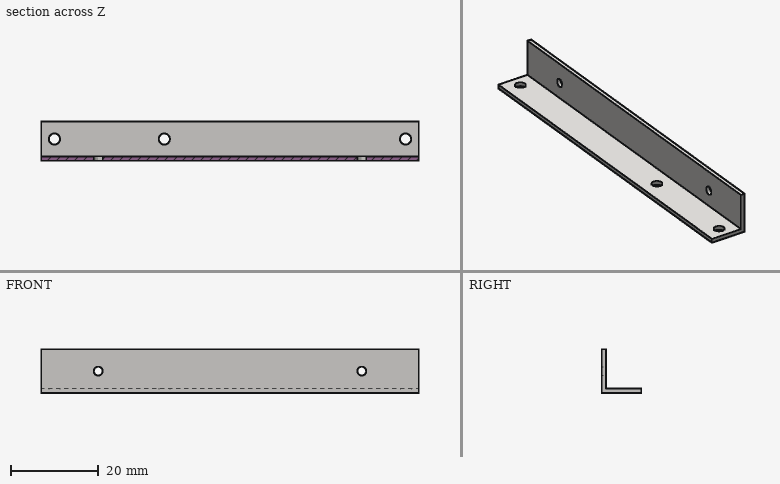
import cadquery as cq

length = 86.0
base_width = 9.0
wall_height = 10.0
thickness = 1.0

wall_hole_diameter = 2.0
wall_hole_end_distance = 13.0
wall_hole_height = wall_height / 2
wall_hole_xs = (wall_hole_end_distance, length - wall_hole_end_distance)

base_hole_diameter = 2.5
base_hole_end_distance = 3.0
inner_base_hole_x = 28.0
base_hole_y = 5.0
base_hole_xs = (base_hole_end_distance, inner_base_hole_x, length - base_hole_end_distance)


def make_angle():
    base = cq.Workplane("XY").box(length, base_width, thickness, centered=False)
    wall = cq.Workplane("XY").box(length, thickness, wall_height, centered=False)
    return base.union(wall)


def make_wall_holes():
    centers = [(x, wall_hole_height) for x in wall_hole_xs]
    return cq.Workplane("XZ").pushPoints(centers).circle(wall_hole_diameter / 2).extrude(-thickness)


def make_base_holes():
    centers = [(x, base_hole_y) for x in base_hole_xs]
    return cq.Workplane("XY").pushPoints(centers).circle(base_hole_diameter / 2).extrude(thickness)


result = make_angle().cut(make_wall_holes()).cut(make_base_holes())